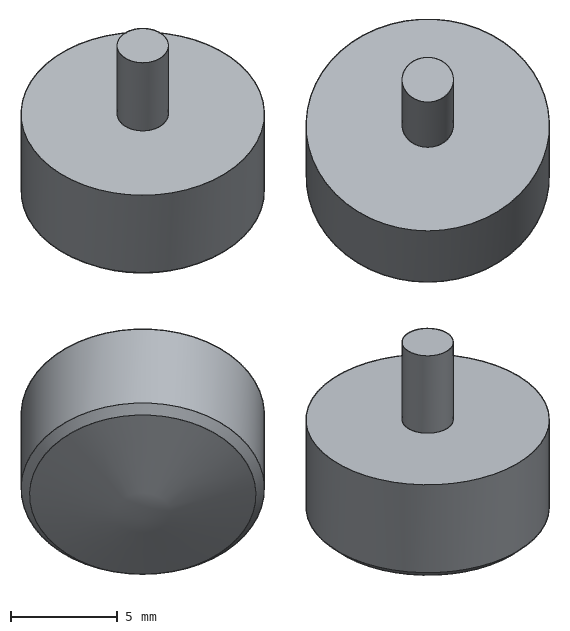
import cadquery as cq

body_diameter = 11.4
pin_diameter = 2.4
total_height = 11.2
pin_length = 4.3
edge_chamfer = 0.4
cone_height = 1.62

body_radius = body_diameter / 2
pin_radius = pin_diameter / 2
cone_radius = body_radius - edge_chamfer
chamfer_top = cone_height + edge_chamfer
body_top = total_height - pin_length

profile = (
    cq.Workplane("XZ")
    .moveTo(0, 0)
    .lineTo(cone_radius, cone_height)
    .lineTo(body_radius, chamfer_top)
    .lineTo(body_radius, body_top)
    .lineTo(pin_radius, body_top)
    .lineTo(pin_radius, total_height)
    .lineTo(0, total_height)
    .close()
)

result = profile.revolve(360, (0, 0, 0), (0, 1, 0))